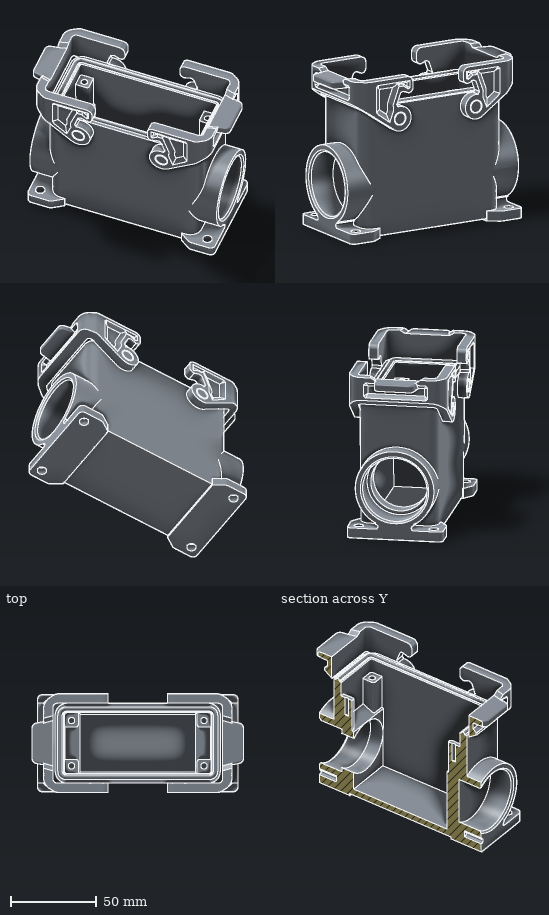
import cadquery as cq
import math

body_half_x = 48.4
foot_body_half_x = 46.6
body_half_y = 23.4
body_corner = 7.1
body_bottom = 1.4
body_top = 79.9

bead_half_x = 46.9
bead_half_y = 21.3
bead_width = 2.6
bead_height = 1.4
bead_round = 1.2
bead_corner = 5.0

mouth_half_x = 42.9
mouth_half_y = 17.9
cavity_corner = 1.2
mouth_bevel = 0.6
mouth_bevel_taper = -45
draft_start = 70.2
draft_angle = 0.8
cavity_floor = 6.2
lower_cavity_half_x = 33.7
slope_top = 51.6
slope_angle = 25

post_inner_x = 34.8
post_inner_y = 9.5
post_top = 69.7
post_corner = 1.2
screw_hole_radius = 1.9
screw_hole_depth = 12.4
screw_x = 38.8
screw_y = 13.3

port_end = 58.8
port_axis = 30.3
port_radius = body_half_y
bore_radius = 19.2
bore_bevel = 1.1
bore_end = 42.7
throat_radius = 17.0

foot_height = 6.1
foot_half_y = 28.5
foot_inner_x = 36.7
foot_bend_x = 43.8
foot_neck_half_y = 23.8
foot_corner = 3.0
foot_bend_radius = 3.6
foot_hole_radius = 2.7
foot_hole_x = 52.6
foot_hole_y = 22.3
web_half_y = 11.4
web_groove_radius = 1.5

bracket_end = 55.2
bracket_half_y = 29.0
corner_start_y = 20.3
corner_flat_start = (-51.3, 26.8)
corner_flat_end = (-49.0, 28.3)
corner_end_x = 46.3
bracket_inner_x = 49.7
bracket_inner_corner = 2.7
bracket_top = 96.8
bracket_end_bottom = 83.0
pivot_x = 26.2
pivot_z = 72.0
pivot_radius = 7.5
pin_radius = 3.6
pin_groove = 0.31
hook_end = 17.4
hook_corner = 3.6
hook_tip_z = 89.9
hook_tip_arc = [(-18.2, 87.8), (-20.5, 86.9)]
hook_throat_start = (-22.8, 87.8)
hook_throat_arc = [(-25.0, 88.0), (-26.4, 86.3)]
hook_root = (-28.4, 81.0)
lug_start_angle = 100

side_recess_outline = [
    (-41.3, 94.2),
    (-26.0, 94.2),
    (-31.0, 81.0),
    (-30.8, 77.4),
    (-33.4, 70.8),
    (-41.2, 76.5),
    (-42.4, 78.0),
    (-42.4, 93.1),
]
side_recess_depth = 1.7
side_recess_taper = 60
hook_recess_outline = [
    (-28.5, 94.2),
    (-19.6, 94.2),
    (-19.6, 90.0),
    (-20.7, 89.3),
    (-23.8, 91.5),
    (-26.9, 91.5),
]
hook_recess_depth = 1.1
hook_recess_taper = 45
end_recess_half_y = 19.1
end_recess_bottom = 84.6
end_recess_top = 93.6
end_recess_depth = 2.2
end_recess_taper = 45
end_recess_corner = 1.2

tab_end = 62.0
tab_bottom = 90.6
tab_top = 95.0
tab_root_half_y = 13.6
tab_tip_half_y = 11.4
tab_corner = 3.1
tab_edge = 1.0
notch_outer_half_y = 14.6
notch_inner_half_y = 16.1
notch_side_run = 2.9


def block(half_x, half_y, bottom, top, corner):
    """Upright block centred on the Z axis, with rounded vertical edges."""
    base = cq.Workplane("XY").workplane(offset=bottom)
    return base.rect(2 * half_x, 2 * half_y).extrude(top - bottom).edges("|Z").fillet(corner)


def x_cylinder(radius, start, end, y, z):
    """Cylinder along X between two X positions."""
    return cq.Workplane("YZ").workplane(offset=start).center(y, z).circle(radius).extrude(end - start)


def both_ends(left_part):
    """The part at the -X end together with its mirror image at the +X end."""
    return left_part.union(left_part.mirror("YZ"))


def shell_solid():
    upper = block(body_half_x, body_half_y, port_axis, body_top, body_corner)
    lower = block(foot_body_half_x, body_half_y, body_bottom, port_axis, body_corner)
    return upper.union(lower)


def sealing_bead():
    top = body_top + bead_height
    outer = block(bead_half_x, bead_half_y, body_top, top, bead_corner)
    inner = block(bead_half_x - bead_width, bead_half_y - bead_width, body_top, top, bead_corner - bead_width)
    return outer.cut(inner).faces(">Z").edges().fillet(bead_round)


def cavity():
    mouth = block(mouth_half_x, mouth_half_y, draft_start, body_top - mouth_bevel, cavity_corner)
    beveled = mouth.faces(">Z").wires().toPending().workplane().extrude(mouth_bevel, taper=mouth_bevel_taper)
    drafted = beveled.faces("<Z").wires().toPending().workplane()
    main = drafted.extrude(draft_start - cavity_floor, taper=draft_angle)
    slope_drop = (mouth_half_x - lower_cavity_half_x) * math.tan(math.radians(slope_angle))
    end_fill = (
        cq.Workplane("XZ", origin=(0, mouth_half_y, 0))
        .moveTo(-mouth_half_x, cavity_floor)
        .lineTo(-lower_cavity_half_x, cavity_floor)
        .lineTo(-lower_cavity_half_x, slope_top - slope_drop)
        .lineTo(-mouth_half_x, slope_top)
        .close()
        .extrude(2 * mouth_half_y)
    )
    return main.cut(both_ends(end_fill))


def screw_posts():
    """Posts standing in both corners of the -X end."""
    size_x = mouth_half_x - post_inner_x
    size_y = mouth_half_y - post_inner_y
    post = (
        cq.Workplane("XY")
        .box(size_x, size_y, post_top - cavity_floor, centered=False)
        .translate((-mouth_half_x, post_inner_y, cavity_floor))
        .edges("|Z and >X and <Y")
        .fillet(post_corner)
    )
    hole = (
        cq.Workplane("XY", origin=(-screw_x, screw_y, post_top))
        .circle(screw_hole_radius)
        .extrude(-screw_hole_depth)
    )
    post = post.cut(hole)
    return post.union(post.mirror("XZ"))


def port():
    return x_cylinder(port_radius, -port_end, -lower_cavity_half_x, 0, port_axis)


def port_bore():
    """Blind bore with a bevelled mouth."""
    bore = x_cylinder(bore_radius, -port_end, -bore_end, 0, port_axis)
    bevel = cq.Solid.makeCone(
        bore_radius + bore_bevel,
        bore_radius,
        bore_bevel,
        cq.Vector(-port_end, 0, port_axis),
        cq.Vector(1, 0, 0),
    )
    return bore.union(cq.Workplane(bevel))


def foot():
    plate = (
        cq.Workplane("XY")
        .moveTo(-port_end, -foot_half_y)
        .lineTo(-foot_bend_x, -foot_half_y)
        .lineTo(-foot_inner_x, -foot_neck_half_y)
        .lineTo(-foot_inner_x, foot_neck_half_y)
        .lineTo(-foot_bend_x, foot_half_y)
        .lineTo(-port_end, foot_half_y)
        .close()
        .extrude(foot_height)
    )
    plate = plate.edges("|Z and <X").fillet(foot_corner)
    bend_zone = cq.selectors.BoxSelector(
        (-foot_bend_x - foot_bend_radius, -foot_half_y - foot_bend_radius, 0),
        (-foot_bend_x + foot_bend_radius, foot_half_y + foot_bend_radius, foot_height),
    )
    plate = plate.edges("|Z").edges(bend_zone).fillet(foot_bend_radius)
    holes = (
        cq.Workplane("XY")
        .pushPoints([(-foot_hole_x, foot_hole_y), (-foot_hole_x, -foot_hole_y)])
        .circle(foot_hole_radius)
        .extrude(foot_height)
    )
    return plate.cut(holes)


def port_web():
    """Web joining the port to its foot, with a round groove along each side."""
    length = port_end - foot_inner_x
    web = cq.Workplane("XY", origin=(-port_end + length / 2, 0, foot_height))
    web = web.rect(length, 2 * web_half_y).extrude(port_axis - bore_radius - foot_height)
    for side in (-1, 1):
        groove_z = foot_height + web_groove_radius
        web = web.cut(x_cylinder(web_groove_radius, -port_end, -foot_inner_x, side * web_half_y, groove_z))
    return web


def lug_point(angle):
    """Point on the rim of the -X pivot lug, with the angle in radians from +X toward +Z."""
    return (-pivot_x + pivot_radius * math.cos(angle), pivot_z + pivot_radius * math.sin(angle))


def bracket_profile():
    """Side outline: a hooked arm that ends in a round pivot lug."""
    run = bracket_end - pivot_x
    rise = bracket_end_bottom - pivot_z
    corner_angle = math.atan2(rise, -run)
    touch_angle = corner_angle + math.acos(pivot_radius / math.hypot(run, rise))
    return (
        cq.Workplane("XZ", origin=(0, bracket_half_y, 0))
        .moveTo(-bracket_end, bracket_top)
        .lineTo(-hook_end - hook_corner, bracket_top)
        .radiusArc((-hook_end, bracket_top - hook_corner), hook_corner)
        .lineTo(-hook_end, hook_tip_z)
        .threePointArc(*hook_tip_arc)
        .lineTo(*hook_throat_start)
        .threePointArc(*hook_throat_arc)
        .lineTo(*hook_root)
        .lineTo(*lug_point(math.radians(lug_start_angle)))
        .threePointArc(lug_point(0), lug_point(touch_angle))
        .lineTo(-bracket_end, bracket_end_bottom)
        .close()
        .extrude(2 * bracket_half_y)
    )


def bracket_frame():
    """U-shaped plan of the -X bracket."""
    low = pivot_z - pivot_radius
    outer = (
        cq.Workplane("XY", origin=(0, 0, low))
        .moveTo(-bracket_end, 0)
        .lineTo(-bracket_end, corner_start_y)
        .tangentArcPoint(corner_flat_start, relative=False)
        .lineTo(*corner_flat_end)
        .tangentArcPoint((-corner_end_x, bracket_half_y), relative=False)
        .lineTo(-hook_end, bracket_half_y)
        .lineTo(-hook_end, 0)
        .mirrorX()
        .extrude(bracket_top - low)
    )
    return outer.cut(block(bracket_inner_x, body_half_y, low, bracket_top, bracket_inner_corner))


def arm_recesses():
    """Main triangular recess and hook groove in the outer face of the -Y arm."""
    face = cq.Workplane("XZ", origin=(0, -bracket_half_y, 0))
    main = face.polyline(side_recess_outline).close().extrude(-side_recess_depth, taper=side_recess_taper)
    hook = face.polyline(hook_recess_outline).close().extrude(-hook_recess_depth, taper=hook_recess_taper)
    groove = (
        face.center(-pivot_x, pivot_z)
        .circle(pin_radius + pin_groove)
        .circle(pin_radius)
        .extrude(-pin_groove)
    )
    return main.union(hook).union(groove)


def end_recess():
    height = end_recess_top - end_recess_bottom
    return (
        cq.Workplane("YZ", origin=(-bracket_end, 0, end_recess_bottom + height / 2))
        .sketch()
        .rect(2 * end_recess_half_y, height)
        .vertices()
        .chamfer(end_recess_corner)
        .finalize()
        .extrude(end_recess_depth, taper=end_recess_taper)
    )


def tab():
    return (
        cq.Workplane("XY", origin=(0, 0, tab_bottom))
        .moveTo(-bracket_inner_x, -tab_root_half_y)
        .lineTo(-bracket_inner_x, tab_root_half_y)
        .lineTo(-tab_end, tab_tip_half_y)
        .lineTo(-tab_end, -tab_tip_half_y)
        .close()
        .extrude(tab_top - tab_bottom)
        .edges("|Z and <X")
        .fillet(tab_corner)
        .faces(">Z or <Z")
        .edges("not >X")
        .fillet(tab_edge)
    )


def tab_notch():
    """Sloping-sided notch above the tab, wider on the inside of the bracket."""
    notch = cq.Workplane("YZ", origin=(-bracket_end, 0, 0))
    for half_y in (notch_outer_half_y, notch_inner_half_y):
        floor_half_y = half_y - notch_side_run
        notch = (
            notch.moveTo(-half_y, bracket_top)
            .lineTo(half_y, bracket_top)
            .lineTo(floor_half_y, tab_top)
            .lineTo(-floor_half_y, tab_top)
            .close()
            .workplane(offset=bracket_end - bracket_inner_x, origin=(-bracket_end, 0, 0))
        )
    return notch.loft(ruled=True)


def bracket():
    recesses = arm_recesses()
    arms = bracket_profile().intersect(bracket_frame())
    arms = arms.cut(recesses).cut(recesses.mirror("XZ"))
    return arms.cut(end_recess()).cut(tab_notch()).union(tab())


housing = shell_solid().union(sealing_bead()).union(both_ends(port().union(port_web()).union(foot())))
housing = housing.cut(cavity()).union(both_ends(screw_posts()))
housing = housing.cut(both_ends(port_bore()))
housing = housing.cut(x_cylinder(throat_radius, -bore_end, -lower_cavity_half_x, 0, port_axis))
result = housing.union(both_ends(bracket()))